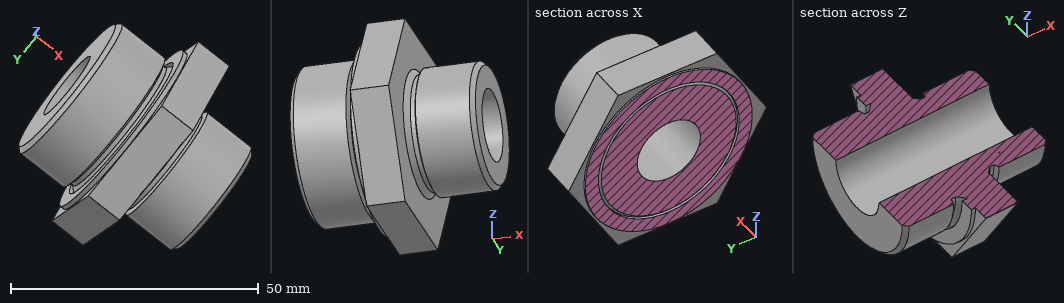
import cadquery as cq
import math

total_length = 38.0
bore_diameter = 14.95

hex_corners = 47.35
hex_start = 15.0
hex_end = 23.1
collar_diameter = 40.0
collar_start = 14.0
seal_recess_diameter = 33.5

end_chamfer = 1.0
groove_width = 1.0
groove_wall_angle = math.radians(20)

large_thread_diameter = 33.25
large_groove_diameter = 30.3
large_flare = (seal_recess_diameter - large_groove_diameter) / 2
exposed_flare = 0.43
recess_floor = collar_start + large_flare - exposed_flare

small_thread_diameter = 26.45
small_groove_diameter = 24.15
small_flare = (small_thread_diameter - small_groove_diameter) / 2


def threaded_stub(root, tip, diameter, groove_diameter, flare):
    """Revolve a stub with an undercut beside its root and a chamfered tip."""
    direction = math.copysign(1, tip - root)
    radius = diameter / 2
    groove_radius = groove_diameter / 2
    groove_end = flare + groove_width
    runout = (radius - groove_radius) * math.tan(groove_wall_angle)
    length = abs(tip - root)
    profile = [
        (0, 0),
        (0, groove_radius + flare),
        (flare, groove_radius),
        (groove_end, groove_radius),
        (groove_end + runout, radius),
        (length - end_chamfer, radius),
        (length, radius - end_chamfer),
        (length, 0),
    ]
    points = [(root + direction * distance, height) for distance, height in profile]
    return cq.Workplane("XY").polyline(points).close().revolve(360, (0, 0, 0), (1, 0, 0))


def cylinder(start, end, diameter):
    """Solid cylinder along X between two stations."""
    return cq.Workplane("YZ", origin=(start, 0, 0)).circle(diameter / 2).extrude(end - start)


hexagon = cq.Workplane("YZ", origin=(hex_start, 0, 0)).polygon(6, hex_corners).extrude(hex_end - hex_start)
collar = cylinder(collar_start, hex_start, collar_diameter)

large_stub = threaded_stub(
    recess_floor, 0, large_thread_diameter, large_groove_diameter, large_flare
)
small_stub = threaded_stub(
    hex_end, total_length, small_thread_diameter, small_groove_diameter, small_flare
)

seal_recess = cylinder(collar_start, recess_floor, seal_recess_diameter)

bore = cylinder(0, total_length, bore_diameter)

body = hexagon.union(collar).cut(seal_recess)
result = body.union(large_stub).union(small_stub).cut(bore)